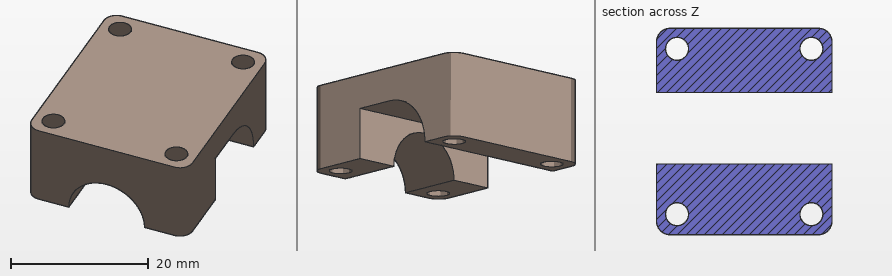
import cadquery as cq

length_x = 25.5
width_y = 30.0
height_z = 12.5
corner_radius = 2.0

hole_diameter = 3.3
hole_inset = 3.0

slot_radius = 7.5
slot_round_center_y = 1.5
slot_flat_wall_y = -4.7

groove_radius = 6.0


def make_block():
    block = cq.Workplane("XY").box(length_x, width_y, height_z, centered=(True, True, False))
    return block.edges("|Z").fillet(corner_radius)


def make_screw_holes():
    spacing_x = length_x - 2 * hole_inset
    spacing_y = width_y - 2 * hole_inset
    return (
        cq.Workplane("XY")
        .rect(spacing_x, spacing_y, forConstruction=True)
        .vertices()
        .circle(hole_diameter / 2)
        .extrude(height_z)
    )


def make_cross_slot():
    return (
        cq.Workplane("YZ")
        .moveTo(slot_flat_wall_y, 0)
        .lineTo(slot_flat_wall_y, slot_radius)
        .lineTo(slot_round_center_y, slot_radius)
        .radiusArc((slot_round_center_y + slot_radius, 0), slot_radius)
        .close()
        .extrude(length_x / 2, both=True)
    )


def make_groove():
    front_face_y = -width_y / 2
    groove_length = slot_flat_wall_y - front_face_y
    return (
        cq.Workplane("XZ", origin=(0, front_face_y, 0))
        .circle(groove_radius)
        .extrude(-groove_length)
    )


result = make_block().cut(make_screw_holes()).cut(make_cross_slot()).cut(make_groove())